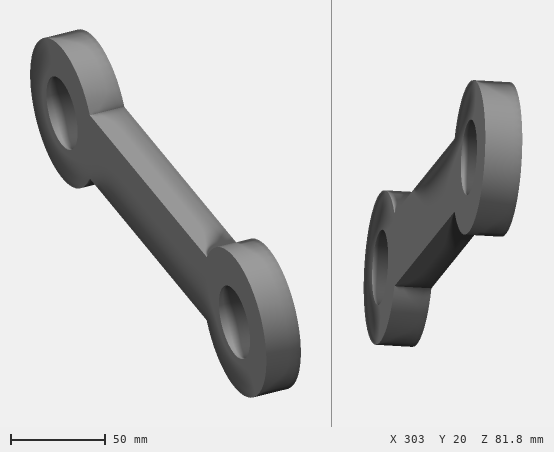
import cadquery as cq

length = 303.0
thickness = 20.0
eye_diameter = 81.8
hole_diameter = 40.0
bar_height = 40.0

centre_distance = length - eye_diameter
eye_centres = [(-centre_distance / 2, 0), (centre_distance / 2, 0)]


def link_body():
    """Flat bar joining two round eyes, centred on the origin in the XZ plane."""
    bar = cq.Workplane("XZ").rect(centre_distance, bar_height).extrude(thickness / 2, both=True)
    eyes = (
        cq.Workplane("XZ")
        .pushPoints(eye_centres)
        .circle(eye_diameter / 2)
        .extrude(thickness / 2, both=True)
    )
    return bar.union(eyes)


def eye_holes():
    """Cylinders that bore through both eyes along Y."""
    return (
        cq.Workplane("XZ")
        .pushPoints(eye_centres)
        .circle(hole_diameter / 2)
        .extrude(thickness, both=True)
    )


result = link_body().cut(eye_holes())